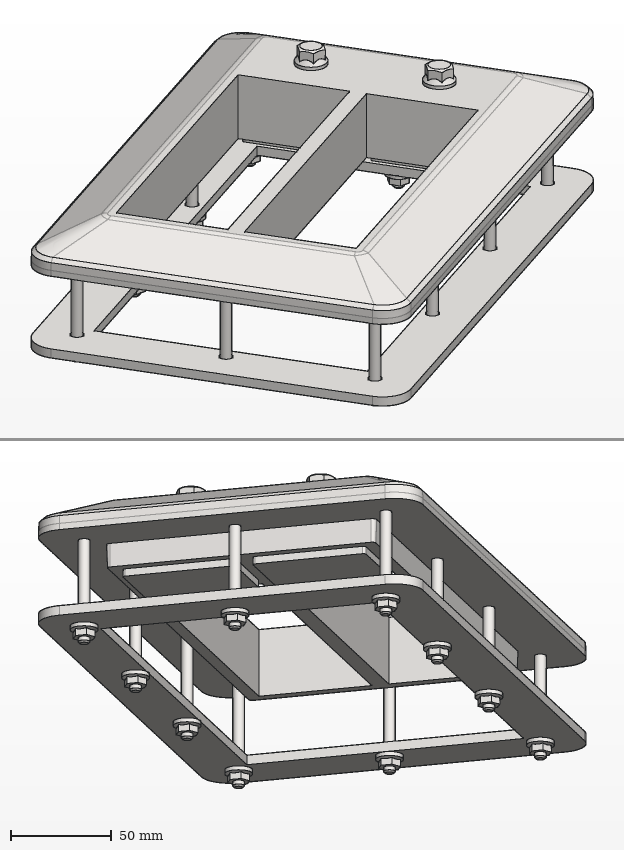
import cadquery as cq
import math

length = 295.0
width = 200.0
corner_radius = 15.0
draft_angle = 2.5

plate_bottom = 9.0
plate_thickness = 5.0
cover_bottom = 53.7
gasket_thickness = 3.2
rim_top = 61.0
slope_bottom = 63.0
cover_top = 76.5
tub_bottom = 41.5
pad_bottom = 37.8

rim_bevel = 2.0
panel_width = 138.0
panel_length = 234.8
panel_corner_radius = 5.0
panel_edge_radius = 8.0

tub_width = 141.0
tub_length = 235.7
tub_corner_radius = 2.5

window_width = 59.0
window_length = 178.8
window_spacing = 67.8
window_center_y = -22.0
pad_length = 39.5
pad_corner_radius = 1.5
bolt_y = 92.3

opening_width = 144.5
opening_length = 239.0

stud_diameter = 6.0
stud_hole_diameter = 7.0
stud_chamfer = 1.0
stud_spacing_x = 157.5
stud_pitch_y = 84.5
nut_flange_diameter = 14.0
nut_flange_thickness = 2.0
nut_cone_height = 1.0
nut_height = 6.2
nut_across_corners = 11.5

bolt_flange_diameter = 16.8
bolt_flange_thickness = 1.8
bolt_cone_height = 3.0
bolt_head_height = 9.7
bolt_across_corners = 15.0
bolt_top_diameter = 11.2
bolt_top_bevel = 1.2

window_centers_x = [-window_spacing / 2, window_spacing / 2]
side_studs = [
    (side * stud_spacing_x / 2, row * stud_pitch_y)
    for side in (-1, 1)
    for row in (-1.5, -0.5, 0.5, 1.5)
]
end_studs = [(0, -1.5 * stud_pitch_y), (0, 1.5 * stud_pitch_y)]
stud_points = side_studs + end_studs


def block(size_x, size_y, bottom, top, radius=0.0):
    """Upright block centred on the Z axis with optionally rounded corners."""
    body = cq.Workplane("XY").workplane(offset=bottom).rect(size_x, size_y).extrude(top - bottom)
    return body.edges("|Z").fillet(radius) if radius else body


def rounded_outline(size_x, size_y, radius):
    """Rectangle with rounded corners."""
    return cq.Sketch().rect(size_x, size_y).vertices().fillet(radius)


def drafted_block(size_x, size_y, radius, start, end):
    """Block with rounded corners that narrows by the draft angle from start to end."""
    base = cq.Workplane("XY").workplane(offset=start)
    outline = rounded_outline(size_x, size_y, radius)
    return base.placeSketch(outline).extrude(end - start, taper=draft_angle)


def make_cover():
    gasket_top = cover_bottom + gasket_thickness
    gasket = block(width, length, cover_bottom, gasket_top, corner_radius)
    rim = drafted_block(width, length, corner_radius, gasket_top, slope_bottom)
    rim = rim.faces(">Z").chamfer(slope_bottom - rim_top, rim_bevel)

    foot_inset = rim_bevel + (slope_bottom - gasket_top) * math.tan(math.radians(draft_angle))
    foot_radius = corner_radius - foot_inset
    foot = rounded_outline(width - 2 * foot_inset, length - 2 * foot_inset, foot_radius)
    panel = rounded_outline(panel_width, panel_length, panel_corner_radius)
    rise = cq.Location(cq.Vector(0, 0, cover_top - slope_bottom))
    slope = (
        cq.Workplane("XY").workplane(offset=slope_bottom)
        .placeSketch(foot, panel.moved(rise))
        .loft(ruled=True)
    )
    slope = slope.faces(">Z").edges().fillet(panel_edge_radius)
    return gasket.union(rim).union(slope)


def make_tub():
    tub = drafted_block(tub_width, tub_length, tub_corner_radius, cover_bottom, tub_bottom)
    for x in window_centers_x:
        pad = block(window_width, pad_length, pad_bottom, tub_bottom, pad_corner_radius)
        tub = tub.union(pad.translate((x, bolt_y, 0)))
    return tub


def make_clamping_plate():
    top = plate_bottom + plate_thickness
    plate = block(width, length, plate_bottom, top, corner_radius)
    plate = plate.cut(block(opening_width, opening_length, plate_bottom, top))
    holes = (
        cq.Workplane("XY").workplane(offset=plate_bottom).pushPoints(stud_points)
        .circle(stud_hole_diameter / 2).extrude(plate_thickness)
    )
    return plate.cut(holes)


def make_flanged_hexagon(flange_diameter, flange_thickness, cone_height, across_corners, height):
    """Hexagon standing on a flange at Z = 0, with a cone leading up to its flats."""
    across_flats = across_corners * math.cos(math.radians(30))
    flange_radius = flange_diameter / 2
    flat_radius = across_flats / 2
    flange = (
        cq.Workplane("XZ")
        .moveTo(0, 0)
        .lineTo(flange_radius, 0)
        .lineTo(flange_radius, flange_thickness)
        .lineTo(flat_radius, flange_thickness + cone_height)
        .lineTo(0, flange_thickness + cone_height)
        .close()
        .revolve(360, (0, 0, 0), (0, 1, 0))
    )
    return flange.union(cq.Workplane("XY").polygon(6, across_corners).extrude(height))


def make_stud():
    """Stud with its flange nut below the clamping plate."""
    stud = cq.Workplane("XY").circle(stud_diameter / 2).extrude(cover_bottom)
    stud = stud.faces("<Z").chamfer(stud_chamfer)
    nut = make_flanged_hexagon(
        nut_flange_diameter, nut_flange_thickness, nut_cone_height, nut_across_corners, nut_height
    )
    nut = nut.mirror("XY").translate((0, 0, plate_bottom))
    return stud.union(nut)


def make_bolt_head():
    head = make_flanged_hexagon(
        bolt_flange_diameter, bolt_flange_thickness, bolt_cone_height, bolt_across_corners, bolt_head_height
    )
    bevel_slope = bolt_top_bevel / ((bolt_across_corners - bolt_top_diameter) / 2)
    envelope_inset = (bolt_flange_diameter - bolt_top_diameter) / 2
    envelope = (
        cq.Workplane("XY").circle(bolt_flange_diameter / 2).extrude(bolt_head_height)
        .faces(">Z").chamfer(envelope_inset * bevel_slope, envelope_inset)
    )
    return head.intersect(envelope).translate((0, 0, cover_top))


result = make_cover().union(make_tub())
for x in window_centers_x:
    window = block(window_width, window_length, tub_bottom, cover_top)
    result = result.cut(window.translate((x, window_center_y, 0)))
    result = result.union(make_bolt_head().translate((x, bolt_y, 0)))

result = result.union(make_clamping_plate())
for x, y in stud_points:
    result = result.union(make_stud().translate((x, y, 0)))